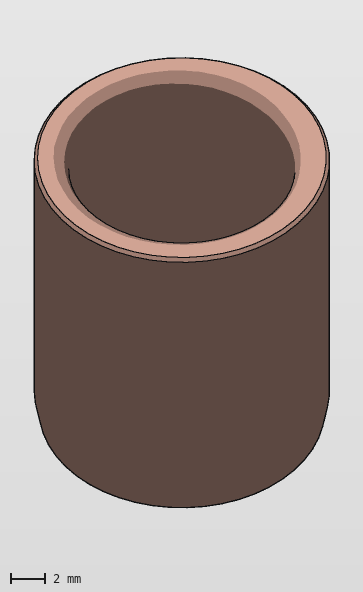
import cadquery as cq
import math

height = 20.0
outer_diameter = 17.0
bore_diameter = 13.0
entry_radius = 1.0
top_chamfer = 0.2
lead_height = 1.5
lead_angle = 10.0

outer_radius = outer_diameter / 2
bore_radius = bore_diameter / 2
lead_inset = lead_height * math.tan(math.radians(lead_angle))

arc_inset = entry_radius * (1 - math.sqrt(0.5))

section = (
    cq.Workplane("XZ")
    .moveTo(bore_radius, 0)
    .lineTo(outer_radius - lead_inset, 0)
    .lineTo(outer_radius, lead_height)
    .lineTo(outer_radius, height - top_chamfer)
    .lineTo(outer_radius - top_chamfer, height)
    .lineTo(bore_radius + entry_radius, height)
    .threePointArc(
        (bore_radius + arc_inset, height - arc_inset),
        (bore_radius, height - entry_radius),
    )
    .close()
)

result = section.revolve(360, (0, 0, 0), (0, 1, 0))